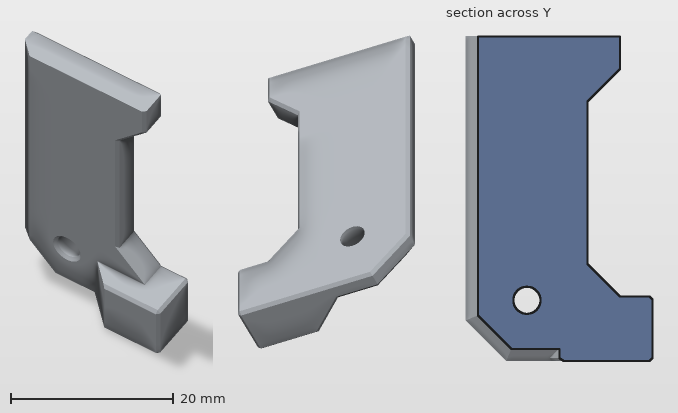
import cadquery as cq

height = 40.0
plate_width = 19.0
plate_thickness = 4.0
corner_cut = 5.0
bevel = 2.0
edge_break = 0.4

notch_depth = 4.0
notch_top = 36.0
notch_x = plate_width - notch_depth

foot_right = 23.0
foot_front = 7.0
foot_height = 8.0
flank_root_x = 10.0
flank_root_depth = plate_thickness - bevel
flank_front_x = flank_root_x + foot_front - flank_root_depth

hole_diameter = 3.3
hole_offset = 7.5
countersink_diameter = hole_diameter + 2 * edge_break

selection_margin = 0.05


def edges_within(body, low, high):
    """Select the edges lying wholly inside the given box."""
    margin = selection_margin
    chosen = []
    for edge in body.edges().vals():
        box = edge.BoundingBox()
        lows = (box.xmin, box.ymin, box.zmin)
        highs = (box.xmax, box.ymax, box.zmax)
        above = all(value > limit - margin for value, limit in zip(lows, low))
        below = all(value < limit + margin for value, limit in zip(highs, high))
        if above and below:
            chosen.append(edge)
    return body.newObject(chosen)


def make_plate():
    outline = [
        (corner_cut, 0),
        (plate_width, 0),
        (plate_width, foot_height),
        (notch_x, foot_height + notch_depth),
        (notch_x, notch_top - notch_depth),
        (plate_width, notch_top),
        (plate_width, height),
        (0, height),
        (0, corner_cut),
    ]
    plate = cq.Workplane("XZ").polyline(outline).close().extrude(plate_thickness)
    plate = plate.faces(">Y").edges().chamfer(edge_break)
    front = -plate_thickness

    left_edges = edges_within(plate, (0, front, corner_cut), (0, front, height))
    corner_edge = edges_within(plate, (0, front, 0), (corner_cut, front, corner_cut))
    bottom_edge = edges_within(plate, (corner_cut, front, 0), (plate_width, front, 0))
    plate = left_edges.add(corner_edge).add(bottom_edge).chamfer(bevel)

    notch_low = (notch_x, front, foot_height + notch_depth)
    side_edges = edges_within(plate, notch_low, (plate_width, front, height))
    return side_edges.chamfer(edge_break)


def make_foot():
    footprint = [
        (flank_root_x, 0),
        (flank_root_x, -flank_root_depth),
        (flank_front_x, -foot_front),
        (foot_right, -foot_front),
        (foot_right, 0),
    ]
    foot = cq.Workplane("XY").polyline(footprint).close().extrude(foot_height)
    broken_edges = foot.faces(">X or <Y or >Y").edges("#Z or >X")
    flank_bottom = edges_within(
        foot,
        (flank_root_x, -foot_front, 0),
        (flank_front_x, -flank_root_depth, 0),
    )
    return broken_edges.add(flank_bottom).chamfer(edge_break)


def make_hole():
    radius = hole_diameter / 2
    front_plane = cq.Workplane("XZ", origin=(hole_offset, 0, hole_offset))
    bore = front_plane.circle(radius).extrude(plate_thickness)
    countersink = cq.Solid.makeCone(
        countersink_diameter / 2,
        radius,
        edge_break,
        cq.Vector(hole_offset, -plate_thickness, hole_offset),
        cq.Vector(0, 1, 0),
    )
    return bore.union(cq.Workplane(countersink))


result = make_plate().union(make_foot()).cut(make_hole())